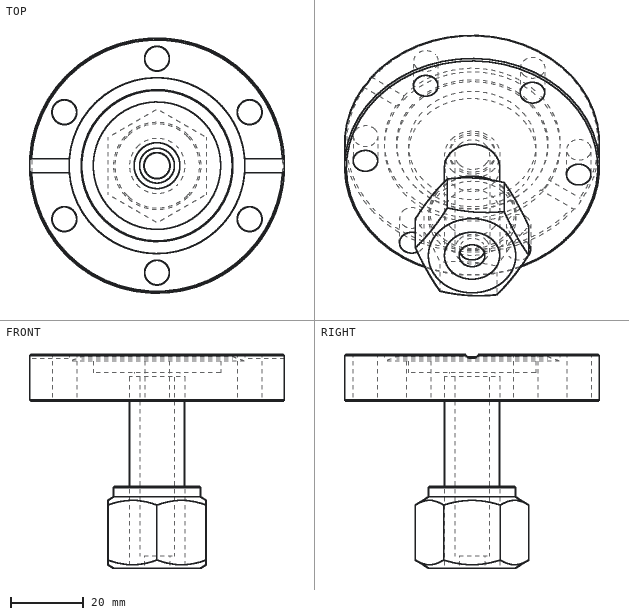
import cadquery as cq
import math

flange_diameter = 70.0
flange_thickness = 13.0
flange_edge_chamfer = 0.5
bolt_count = 6
bolt_circle_diameter = 58.7
bolt_hole_diameter = 6.7

recess_diameter = 48.3
knife_diameter = 41.7
knife_foot_diameter = 41.3
knife_depth = 0.7
knife_slope = 20.0
seat_depth = 1.3
bore_diameter = 35.0
bore_depth = 5.05

groove_width = 3.9
groove_depth = 1.2

tube_diameter = 15.2
tube_bore_diameter = 9.6
tube_outlet_diameter = 7.1
tube_outlet_length = 3.5
lip_opening_diameter = 12.6
lip_thickness = 1.05

overall_height = 58.8
nut_across_flats = 27.0
nut_height = 22.55
collar_diameter = 24.0
collar_height = 2.95
collar_chamfer = 0.4
nut_chamfer_angle = 32.0

tube_top = -(bore_depth + lip_thickness)
nut_bottom = -overall_height
nut_top = nut_bottom + nut_height


def cylinder(diameter, bottom, top):
    """Cylinder on the Z axis between two heights."""
    return cq.Workplane("XY").workplane(offset=bottom).circle(diameter / 2).extrude(top - bottom)


def sealing_recess():
    """Revolved cavity: outer wall, slope up to the knife edge, flat seat and bore."""
    slope_drop = (recess_diameter - knife_diameter) / 2 * math.tan(math.radians(knife_slope))
    return (
        cq.Workplane("XZ")
        .moveTo(0, 0)
        .lineTo(recess_diameter / 2, 0)
        .lineTo(recess_diameter / 2, -(knife_depth + slope_drop))
        .lineTo(knife_diameter / 2, -knife_depth)
        .lineTo(knife_foot_diameter / 2, -seat_depth)
        .lineTo(bore_diameter / 2, -seat_depth)
        .lineTo(bore_diameter / 2, -bore_depth)
        .lineTo(0, -bore_depth)
        .close()
        .revolve(360, (0, 0, 0), (0, 1, 0))
    )


def leak_check_grooves():
    """Round-bottomed groove across the top along X, kept outside the sealing recess."""
    radius = ((groove_width / 2) ** 2 + groove_depth**2) / (2 * groove_depth)
    groove = (
        cq.Workplane("YZ")
        .center(0, radius - groove_depth)
        .circle(radius)
        .extrude(flange_diameter / 2, both=True)
    )
    return groove.cut(cylinder(recess_diameter, -flange_thickness, 2 * radius))


def make_flange():
    disc = cylinder(flange_diameter, -flange_thickness, 0).edges().chamfer(flange_edge_chamfer)
    bolt_holes = (
        cq.Workplane("XY")
        .polarArray(bolt_circle_diameter / 2, 90, 360, bolt_count)
        .circle(bolt_hole_diameter / 2)
        .extrude(-flange_thickness)
    )
    lip_opening = cylinder(lip_opening_diameter, tube_top, 0)
    tube_socket = cylinder(tube_diameter, -flange_thickness, tube_top)
    return (
        disc.cut(bolt_holes)
        .cut(leak_check_grooves())
        .cut(sealing_recess())
        .cut(lip_opening)
        .cut(tube_socket)
    )


def make_tube():
    """Tube from the flange lip down to the nut's lower face, narrowed at its outlet."""
    outlet_top = nut_bottom + tube_outlet_length
    return (
        cylinder(tube_diameter, nut_bottom, tube_top)
        .cut(cylinder(tube_bore_diameter, outlet_top, tube_top))
        .cut(cylinder(tube_outlet_diameter, nut_bottom, outlet_top))
    )


def make_nut():
    """Hexagon with two corners on the Y axis, trimmed by a turned envelope."""
    corner_radius = nut_across_flats / math.sqrt(3)
    collar_radius = collar_diameter / 2
    chamfer_height = (corner_radius - collar_radius) * math.tan(math.radians(nut_chamfer_angle))
    shoulder = nut_top - collar_height
    hexagon = (
        cq.Workplane("XY")
        .workplane(offset=nut_bottom)
        .transformed(rotate=(0, 0, 90))
        .polygon(6, 2 * corner_radius)
        .extrude(nut_height)
    )
    envelope = (
        cq.Workplane("XZ")
        .moveTo(0, nut_bottom)
        .lineTo(collar_radius, nut_bottom)
        .lineTo(corner_radius, nut_bottom + chamfer_height)
        .lineTo(corner_radius, shoulder - chamfer_height)
        .lineTo(collar_radius, shoulder)
        .lineTo(collar_radius, nut_top - collar_chamfer)
        .lineTo(collar_radius - collar_chamfer, nut_top)
        .lineTo(0, nut_top)
        .close()
        .revolve(360, (0, 0, 0), (0, 1, 0))
    )
    return hexagon.intersect(envelope).cut(cylinder(tube_diameter, nut_bottom, nut_top))


flange = make_flange()
tube = make_tube()
nut = make_nut()

result = cq.Compound.makeCompound([flange.val(), tube.val(), nut.val()])